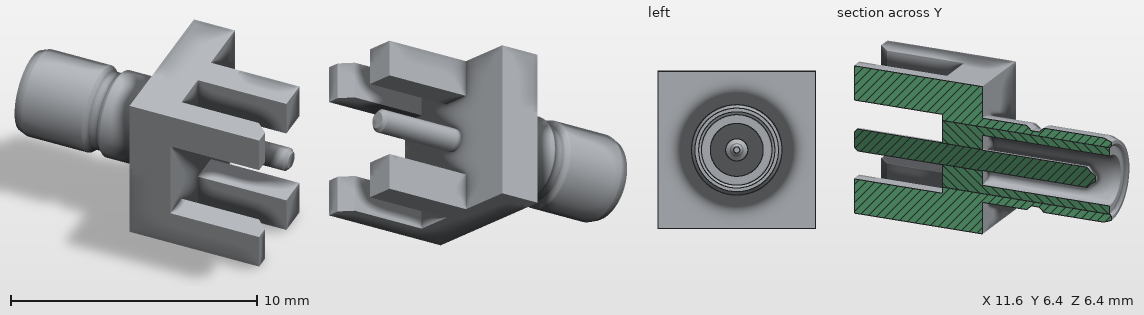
import cadquery as cq

overall_length = 11.55
plate_front = 5.79
plate_thickness = 1.82
plate_size = 6.4
plate_rear = plate_front + plate_thickness
half_plate = plate_size / 2

prong_slot_height = 3.4
side_prong_width = 1.09
side_prong_chamfer = 0.5
middle_prong_width = 1.29

barrel_radius = 1.84
barrel_chamfer_length = 0.37
barrel_chamfer_depth = 0.14
groove_start = 3.05
groove_floor_start = 3.26
groove_floor_end = 3.62
groove_floor_radius = 1.64
groove_end = 3.82
groove_edge_round = 0.09

insert_radius = 1.43
insert_recess = 0.09
mouth_radius = 1.55
socket_radius = 1.07
socket_floor = plate_front

pin_radius = 0.49
pin_end_chamfer = 0.15
contact_radius = 0.45
contact_tip = 0.73
tip_flat_radius = 0.13
tip_shoulder_radius = 0.25
tip_nose_length = 0.2
tip_taper_length = 0.2

middle_prong_low = -pin_radius


def revolve_about_x(profile):
    """Turn a closed (x, radius) profile about the X axis."""
    return profile.close().revolve(360, (0, 0, 0), (1, 0, 0))


def make_barrel():
    barrel = revolve_about_x(
        cq.Workplane("XY")
        .moveTo(0, 0)
        .lineTo(0, barrel_radius - barrel_chamfer_depth)
        .lineTo(barrel_chamfer_length, barrel_radius)
        .lineTo(groove_start, barrel_radius)
        .lineTo(groove_floor_start, groove_floor_radius)
        .lineTo(groove_floor_end, groove_floor_radius)
        .lineTo(groove_end, barrel_radius)
        .lineTo(plate_front, barrel_radius)
        .lineTo(plate_front, 0)
    )
    for edge_x in (groove_start, groove_end):
        edge_box = cq.selectors.BoxSelector(
            (edge_x - 0.01, -plate_size, -plate_size), (edge_x + 0.01, plate_size, plate_size), boundingbox=True
        )
        barrel = barrel.edges(edge_box).fillet(groove_edge_round)
    return barrel


def make_plate_with_prongs():
    side_prong_inner = -half_plate + side_prong_width
    middle_prong_high = middle_prong_low + middle_prong_width
    outline = [
        (plate_front, -half_plate),
        (overall_length, -half_plate),
        (overall_length, side_prong_inner - side_prong_chamfer),
        (overall_length - side_prong_chamfer, side_prong_inner),
        (plate_rear, side_prong_inner),
        (plate_rear, middle_prong_low),
        (overall_length, middle_prong_low),
        (overall_length, middle_prong_high),
        (plate_rear, middle_prong_high),
        (plate_rear, half_plate),
        (plate_front, half_plate),
    ]
    block = cq.Workplane("XY").polyline(outline).close().extrude(half_plate, both=True)
    prong_length = overall_length - plate_rear
    slot = (
        cq.Workplane("XY")
        .box(prong_length, plate_size, prong_slot_height, centered=(False, True, True))
        .translate((plate_rear, 0, 0))
    )
    return block.cut(slot)


def make_housing():
    bore = revolve_about_x(
        cq.Workplane("XY")
        .moveTo(0, 0)
        .lineTo(0, mouth_radius)
        .lineTo(insert_recess, insert_radius)
        .lineTo(plate_rear, insert_radius)
        .lineTo(plate_rear, 0)
    )
    return make_barrel().union(make_plate_with_prongs()).cut(bore)


def make_insulator():
    return revolve_about_x(
        cq.Workplane("XY")
        .moveTo(insert_recess, socket_radius)
        .lineTo(insert_recess, insert_radius)
        .lineTo(plate_rear, insert_radius)
        .lineTo(plate_rear, contact_radius)
        .lineTo(socket_floor, contact_radius)
        .lineTo(socket_floor, socket_radius)
    )


def make_pin():
    nose_end = contact_tip + tip_nose_length
    return revolve_about_x(
        cq.Workplane("XY")
        .moveTo(contact_tip, 0)
        .lineTo(contact_tip, tip_flat_radius)
        .lineTo(nose_end, tip_shoulder_radius)
        .lineTo(nose_end + tip_taper_length, contact_radius)
        .lineTo(plate_rear, contact_radius)
        .lineTo(plate_rear, pin_radius)
        .lineTo(overall_length - pin_end_chamfer, pin_radius)
        .lineTo(overall_length, pin_radius - pin_end_chamfer)
        .lineTo(overall_length, 0)
    )


housing = make_housing()
insulator = make_insulator()
pin = make_pin()

result = cq.Compound.makeCompound([housing.val(), insulator.val(), pin.val()])